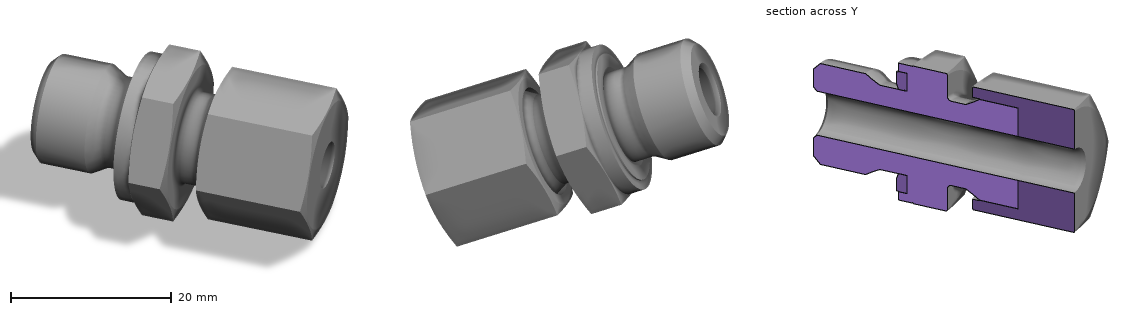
import cadquery as cq
import math


stud_radius = 7.0
neck_radius = 5.85
bore_radius = 3.0
collar_radius = 9.47
seal_radius = 8.25

body_hex_flats = 19.0
nut_hex_flats = 17.0
hex_bevel_angle = math.radians(15)
hex_bevel_start = 0.97
corner_clearance = 0.37

stud_cone_start = 7.4
seal_start = 11.75
collar_start = 12.0
hex_start = 14.0
hex_end = 19.0
nut_cone_start = 21.57
nut_start = 22.5
thread_end = 29.0
nut_end = 37.0

stud_chamfer = 1.0
bore_chamfer = 0.5
cone_angle = math.radians(30)
cone_blend_radius = 1.0
hex_fillet_radius = 0.5
seal_thickness = 1.48
seal_bevel_width = 0.63

cone_length = (stud_radius - neck_radius) / math.tan(cone_angle)
seal_end = seal_start + seal_thickness


def cylinder(radius, start, end):
    """Solid cylinder on the X axis from X = start to X = end."""
    return cq.Workplane("YZ", origin=(start, 0, 0)).circle(radius).extrude(end - start)


def beveled_hexagon(flats, start, end):
    """Hexagonal prism with corners on +Y and -Y, both ends turned to a cone."""
    across_corners = 2 * flats / math.sqrt(3)
    prism = cq.Workplane("YZ", origin=(start, 0, 0)).polygon(6, across_corners).extrude(end - start)

    face_radius = hex_bevel_start * flats / 2
    rim_radius = across_corners / 2 + corner_clearance
    bevel_depth = (rim_radius - face_radius) * math.tan(hex_bevel_angle)
    envelope = (
        cq.Workplane("XY")
        .moveTo(start, 0)
        .lineTo(start, face_radius)
        .lineTo(start + bevel_depth, rim_radius)
        .lineTo(end - bevel_depth, rim_radius)
        .lineTo(end, face_radius)
        .lineTo(end, 0)
        .close()
        .revolve(360, (0, 0, 0), (1, 0, 0))
    )
    return prism.intersect(envelope)


def turned_core():
    """Stud, neck, collar and nut-side thread as one turned shape."""
    tangent_length = cone_blend_radius * math.tan(cone_angle / 2)
    neck_corner = stud_cone_start + cone_length
    blend_start = (
        neck_corner - tangent_length * math.cos(cone_angle),
        neck_radius + tangent_length * math.sin(cone_angle),
    )
    blend_end = (neck_corner + tangent_length, neck_radius)
    blend_middle = (
        blend_end[0] - cone_blend_radius * math.sin(cone_angle / 2),
        neck_radius + cone_blend_radius * (1 - math.cos(cone_angle / 2)),
    )
    fillet_middle_offset = hex_fillet_radius * (1 - math.sqrt(0.5))

    return (
        cq.Workplane("XY")
        .moveTo(0, 0)
        .lineTo(0, stud_radius - stud_chamfer)
        .lineTo(stud_chamfer, stud_radius)
        .lineTo(stud_cone_start, stud_radius)
        .lineTo(*blend_start)
        .threePointArc(blend_middle, blend_end)
        .lineTo(collar_start, neck_radius)
        .lineTo(collar_start, collar_radius)
        .lineTo(hex_start, collar_radius)
        .lineTo(hex_start, neck_radius + hex_fillet_radius)
        .lineTo(hex_end, neck_radius + hex_fillet_radius)
        .threePointArc(
            (hex_end + fillet_middle_offset, neck_radius + fillet_middle_offset),
            (hex_end + hex_fillet_radius, neck_radius),
        )
        .lineTo(nut_cone_start, neck_radius)
        .lineTo(nut_cone_start + cone_length, stud_radius)
        .lineTo(thread_end, stud_radius)
        .lineTo(thread_end, 0)
        .close()
        .revolve(360, (0, 0, 0), (1, 0, 0))
    )


def countersink(small_radius, large_radius, start, depth):
    """Cone cutter on the X axis, widest at X = start and narrowing toward +X."""
    return cq.Workplane(
        cq.Solid.makeCone(large_radius, small_radius, depth, cq.Vector(start, 0, 0), cq.Vector(1, 0, 0))
    )


def make_seal():
    """Flat ring around the neck, slightly proud of the collar, with a beveled inner edge."""
    ring = cylinder(seal_radius, seal_start, seal_end).cut(cylinder(neck_radius, seal_start, seal_end))
    bevel = countersink(neck_radius, neck_radius + seal_bevel_width, seal_start, collar_start - seal_start)
    return ring.cut(bevel)


def make_body(seal):
    """Threaded body with hexagon, through bore and a recess for the seal."""
    body = turned_core().union(beveled_hexagon(body_hex_flats, hex_start, hex_end))
    bore = cylinder(bore_radius, 0, thread_end)
    bore_mouth = countersink(bore_radius, bore_radius + bore_chamfer, 0, bore_chamfer)
    return body.cut(bore).cut(bore_mouth).cut(seal)


def make_nut():
    """Union nut with a thread socket that ends at the body and a through bore."""
    blank = beveled_hexagon(nut_hex_flats, nut_start, nut_end)
    socket = cylinder(stud_radius, nut_start, thread_end)
    return blank.cut(socket).cut(cylinder(bore_radius, nut_start, nut_end))


seal = make_seal()
body = make_body(seal)
nut = make_nut()

result = cq.Compound.makeCompound([body.solids().val(), seal.solids().val(), nut.solids().val()])